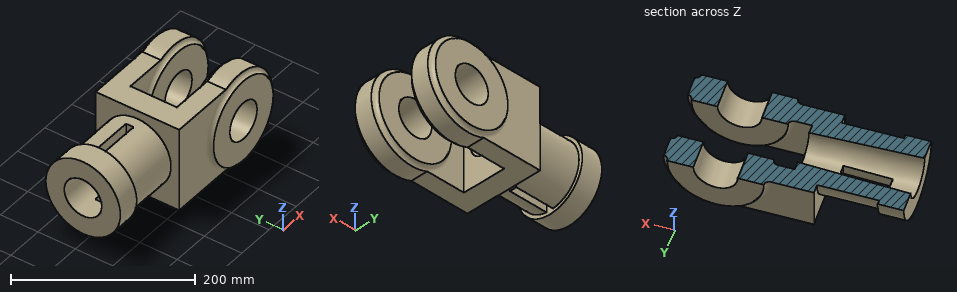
import cadquery as cq
import math

collar_diameter = 100
collar_length = 30
neck_diameter = 90
stem_length = 100

slot_length = 56
slot_width = 10

fork_size = 112
fork_base_thickness = 30
arm_thickness = 25
gap_width = fork_size - 2 * arm_thickness
gap_start_x = stem_length + fork_base_thickness

bore_mouth_diameter = 50
bore_taper = 1 / 15
bore_end_diameter = bore_mouth_diameter - bore_taper * gap_start_x

eye_x = 210
eye_radius = 61
pin_diameter = 50
boss_height = 6
boss_face_radius = eye_radius - boss_height
arm_outer_y = fork_size / 2
arm_inner_y = gap_width / 2


def make_stem():
    """Collar and neck, joined end to end."""
    collar = cq.Workplane("YZ").circle(collar_diameter / 2).extrude(collar_length)
    neck = cq.Workplane("YZ").circle(neck_diameter / 2).extrude(stem_length)
    return collar.union(neck)


def make_fork_base():
    """Square block that closes the fork and carries the stem."""
    plane = cq.Workplane("YZ", origin=(stem_length, 0, 0))
    return plane.rect(fork_size, fork_size).extrude(fork_base_thickness)


def make_arm():
    """Arm on the +Y side; its bar ends at the eye centre, inside the larger eye."""
    arm_length = eye_x - gap_start_x
    plane = cq.Workplane("XZ", origin=(0, arm_outer_y, 0))
    return plane.center(gap_start_x + arm_length / 2, 0).rect(arm_length, fork_size).extrude(arm_thickness)


def make_bossed_eye():
    """Full-thickness +Y eye with a boss on each side, flaring to the eye radius in a concave quarter round."""
    inner_face_y = arm_inner_y - boss_height
    outer_face_y = arm_outer_y + boss_height
    mid_radius = eye_radius - boss_height * math.sqrt(0.5)
    mid_rise = boss_height * (1 - math.sqrt(0.5))
    profile = (
        cq.Workplane("XY")
        .moveTo(0, inner_face_y)
        .lineTo(boss_face_radius, inner_face_y)
        .threePointArc((mid_radius, arm_inner_y - mid_rise), (eye_radius, arm_inner_y))
        .lineTo(eye_radius, arm_outer_y)
        .threePointArc((mid_radius, arm_outer_y + mid_rise), (boss_face_radius, outer_face_y))
        .lineTo(0, outer_face_y)
        .close()
    )
    return profile.revolve(360, (0, 0, 0), (0, 1, 0)).translate((eye_x, 0, 0))


def make_bore():
    """Cone removed along the X axis."""
    profile = (
        cq.Workplane("XY")
        .lineTo(0, bore_mouth_diameter / 2)
        .lineTo(gap_start_x, bore_end_diameter / 2)
        .lineTo(gap_start_x, 0)
        .close()
    )
    return profile.revolve(360, (0, 0, 0), (1, 0, 0))


def make_slot():
    """Rectangular bar removed vertically through the neck."""
    cutter = cq.Workplane("XY").box(slot_length, slot_width, collar_diameter)
    return cutter.translate((collar_length + slot_length / 2, 0, 0))


def make_pin_hole():
    """Cylinder removed across both eyes."""
    half_length = arm_outer_y + boss_height
    return cq.Workplane("XZ", origin=(eye_x, 0, 0)).circle(pin_diameter / 2).extrude(half_length, both=True)


arm = make_arm().union(make_bossed_eye())
result = make_stem().union(make_fork_base()).union(arm).union(arm.mirror("XZ"))
result = result.cut(make_bore()).cut(make_slot()).cut(make_pin_hole())